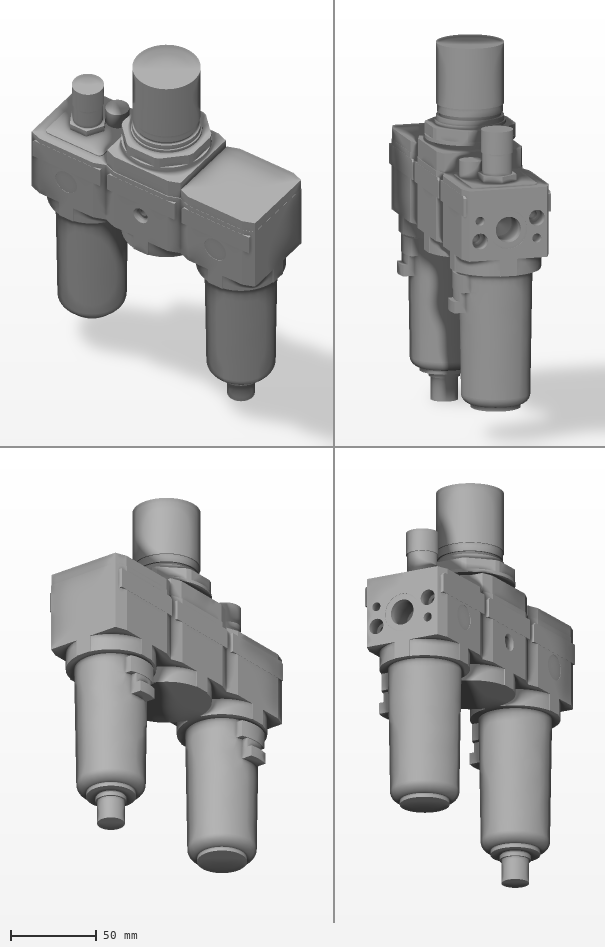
import cadquery as cq
import math


OVERALL_HEIGHT = 225
OVERALL_DEPTH = 54.5
OVERALL_WIDTH = 159.0

HEAD_COUNT = 3
PITCH = OVERALL_WIDTH / HEAD_COUNT
HALF = PITCH / 2
COLLAR_HEIGHT = 10.1
HEAD_TOP = 52.2
CORNER_X = 7.5
CORNER_Y = 2.7
TAB_WIDTH = 10.1

PLATE_BOTTOM = 36.7
PLATE_TOP = 48.8
PLATE_GAP = 2.5
PLATE_CORNER = 1.5
PLATE_PROUD = 0.11
PLATE_DEPTH = 4.5

PORT_Z = 28.0
PORT_RADIUS = 7.6
PORT_DEPTH = 19.1
PORT_SEAT_RADIUS = 11.5
RECESS_DEPTH = 0.2
FRONT_RECESS_RADIUS = 7.6
DRILL_POINT_ANGLE = 118
SCREW_Y = 17.3
SCREW_Z = 6.0
SCREW_RADIUS = 2.7
SCREW_DEPTH = 13.5
SCREW_SEAT_RADIUS = 4.7
SCREW_SEAT_DEPTH = 9.0
GAUGE_RIM_RADIUS = 5.2
GAUGE_RADIUS = 3.8
GAUGE_DEPTH = 3.4
GAUGE_CORE_RADIUS = 2.2
GAUGE_CORE_DEPTH = 6.8

FILTER_COVER_INSET = 0.11
REGULATOR_COVER_INSET = 0.5
FILTER_COVER_TOP = 59.0
REGULATOR_COVER_TOP = 63.7

PAD_SIZE = 40.3
PAD_CORNER = 3.0
PAD_TOP = 52.9
SIGHT_X = -3.0
HEX_FLATS = 20.2
HEX_TOP = 57.0
STEM_RADIUS = 8.8
STEM_TOP = 69.8
CAP_RADIUS = 9.5
CAP_TOP = 83.2
PLUG_X = 9.7
PLUG_Y = 12.2
PLUG_RADIUS = 7.0
PLUG_TOP = 63.0

THREAD_RADIUS = 21.0
WASHER_RADIUS = 26.5
WASHER_BOTTOM = 67.0
WASHER_TOP = 69.0
NUT_FLATS = 50.2
NUT_SIDES = 8
NUT_TOP = 75.8
THREAD_TOP = 77.6
RING_RADIUS = 20.0
RING_TOP = 80.5
GROOVE_RADIUS = 18.2
GROOVE_TOP = 82.5
NECK_RADIUS = 19.4
NECK_TOP = 87.5
KNOB_RADIUS = 20.0
KNOB_TOP = 124.0

BOWL_TOP_RADIUS = 21.5
BOWL_END_RADIUS = 20.2
BOWL_DEPTH = 81.0
BOWL_ROUND = 5.8
FOOT_RADIUS = 14.6
FOOT_DEPTH = 83.5
DRAIN_NECK_RADIUS = 8.5
DRAIN_NECK_DEPTH = 84.4
DRAIN_RING_RADIUS = 9.2
DRAIN_RING_DEPTH = 86.8
DRAIN_RADIUS = 8.0
DRAIN_DEPTH = OVERALL_HEIGHT - KNOB_TOP

LATCH_TOP = -1.8
LATCH_STEP = -12.2
LATCH_RADIUS = 25.5
LATCH_WIDTH = 21.2
HOOK_TOP = -18.0
HOOK_BOTTOM = -24.8
HOOK_RADIUS = OVERALL_DEPTH - HALF - PLATE_PROUD
HOOK_WIDTH = 13.5
HOOK_NECK_RADIUS = 25.0


def disc(radius, bottom, top):
    """Upright cylinder on the Z axis."""
    return cq.Workplane("XY").workplane(offset=bottom).circle(radius).extrude(top - bottom)


def bevelled_block(inset, bottom, top):
    """Square block with bevelled vertical corners, drawn in by the inset on all sides."""
    side = HALF - inset
    flat_x = HALF - CORNER_X
    flat_y = side - CORNER_Y
    outline = [
        (side, -flat_y), (side, flat_y), (flat_x, side), (-flat_x, side),
        (-side, flat_y), (-side, -flat_y), (-flat_x, -side), (flat_x, -side),
    ]
    return cq.Workplane("XY").workplane(offset=bottom).polyline(outline).close().extrude(top - bottom)


def label_plate():
    """Label plate on the front face; its upper left corner is cut off."""
    right = HALF - PLATE_GAP
    left = -right
    outline = [
        (left, PLATE_BOTTOM), (right, PLATE_BOTTOM), (right, PLATE_TOP),
        (left + PLATE_CORNER, PLATE_TOP), (left, PLATE_TOP - PLATE_CORNER),
    ]
    plate = cq.Workplane("XZ", origin=(0, PLATE_DEPTH - HALF, 0)).polyline(outline).close()
    return plate.extrude(PLATE_DEPTH + PLATE_PROUD)


def plain_head():
    """What the three heads share: block, collar with four tabs, and two label plates."""
    head = bevelled_block(0, COLLAR_HEIGHT, HEAD_TOP)
    head = head.union(disc(HALF, 0, COLLAR_HEIGHT))
    for size in ((PITCH, TAB_WIDTH), (TAB_WIDTH, PITCH)):
        head = head.union(cq.Workplane("XY").rect(*size).extrude(COLLAR_HEIGHT))
    plate = label_plate()
    return head.union(plate).union(plate.mirror("XZ"))


def drill(radius, depth):
    """Drilled hole along +X from the YZ plane, ending in a drill point."""
    point = radius / math.tan(math.radians(DRILL_POINT_ANGLE / 2))
    profile = [(0, 0), (0, radius), (depth, radius), (depth + point, 0)]
    return cq.Workplane("XY").polyline(profile).close().revolve(360, (0, 0, 0), (1, 0, 0))


def cut_side_port(head):
    """Port with a shallow seat and four screw holes, two of them counterbored, on the -X face."""
    face = cq.Workplane("YZ", origin=(-HALF, 0, PORT_Z))
    head = head.cut(face.circle(PORT_SEAT_RADIUS).extrude(RECESS_DEPTH))
    head = head.cut(drill(PORT_RADIUS, PORT_DEPTH).translate((-HALF, 0, PORT_Z)))
    for y_sign in (-1, 1):
        for z_sign in (-1, 1):
            y = y_sign * SCREW_Y
            z = z_sign * SCREW_Z
            head = head.cut(drill(SCREW_RADIUS, SCREW_DEPTH).translate((-HALF, y, PORT_Z + z)))
            if y_sign != z_sign:
                head = head.cut(face.center(y, z).circle(SCREW_SEAT_RADIUS).extrude(SCREW_SEAT_DEPTH))
    return head


def cut_front_recess(head):
    """Shallow round recess in the front face."""
    face = cq.Workplane("XZ", origin=(0, -HALF, PORT_Z))
    return head.cut(face.circle(FRONT_RECESS_RADIUS).extrude(-RECESS_DEPTH))


def cut_gauge_port(head):
    """Countersunk, stepped gauge port in the front face."""
    rim = GAUGE_RIM_RADIUS - GAUGE_RADIUS
    profile = [
        (0, 0), (GAUGE_RIM_RADIUS, 0), (GAUGE_RADIUS, rim), (GAUGE_RADIUS, GAUGE_DEPTH),
        (GAUGE_CORE_RADIUS, GAUGE_DEPTH), (GAUGE_CORE_RADIUS, GAUGE_CORE_DEPTH), (0, GAUGE_CORE_DEPTH),
    ]
    port = cq.Workplane("XY").polyline(profile).close().revolve(360, (0, 0, 0), (0, 1, 0))
    return head.cut(port.translate((0, -HALF, PORT_Z)))


def make_lubricator():
    """Lubricator head with its side port, raised pad, sight stem and filler plug."""
    head = cut_front_recess(cut_side_port(plain_head()))
    pad = cq.Workplane("XY").workplane(offset=HEAD_TOP).rect(PAD_SIZE, PAD_SIZE).extrude(PAD_TOP - HEAD_TOP)
    head = head.union(pad.edges("|Z").fillet(PAD_CORNER))
    hex_corners = HEX_FLATS / math.cos(math.pi / 6)
    sight = cq.Workplane("XY").workplane(offset=PAD_TOP).polygon(6, hex_corners).extrude(HEX_TOP - PAD_TOP)
    sight = sight.union(disc(STEM_RADIUS, HEX_TOP, STEM_TOP)).union(disc(CAP_RADIUS, STEM_TOP, CAP_TOP))
    head = head.union(sight.translate((SIGHT_X, 0, 0)))
    head = head.union(disc(PLUG_RADIUS, PAD_TOP, PLUG_TOP).translate((PLUG_X, PLUG_Y, 0)))
    return head.translate((-PITCH, 0, 0))


def make_regulator():
    """Regulator head with its gauge port, cover, bonnet thread, octagonal nut and knob."""
    head = cut_gauge_port(plain_head())
    head = head.union(bevelled_block(REGULATOR_COVER_INSET, HEAD_TOP, REGULATOR_COVER_TOP))
    nut_corners = NUT_FLATS / math.cos(math.pi / NUT_SIDES)
    nut = cq.Workplane("XY").workplane(offset=WASHER_TOP).polygon(NUT_SIDES, nut_corners)
    nut = nut.extrude(NUT_TOP - WASHER_TOP).rotate((0, 0, 0), (0, 0, 1), 180 / NUT_SIDES)
    nut = nut.intersect(disc(WASHER_RADIUS, WASHER_TOP, NUT_TOP))
    head = head.union(nut)
    rounds = [
        (THREAD_RADIUS, REGULATOR_COVER_TOP, WASHER_BOTTOM),
        (WASHER_RADIUS, WASHER_BOTTOM, WASHER_TOP),
        (THREAD_RADIUS, NUT_TOP, THREAD_TOP),
        (RING_RADIUS, THREAD_TOP, RING_TOP),
        (GROOVE_RADIUS, RING_TOP, GROOVE_TOP),
        (NECK_RADIUS, GROOVE_TOP, NECK_TOP),
        (KNOB_RADIUS, NECK_TOP, KNOB_TOP),
    ]
    for radius, bottom, top in rounds:
        head = head.union(disc(radius, bottom, top))
    return head


def make_filter():
    """Filter head with its flat cover."""
    head = cut_front_recess(plain_head())
    head = head.union(bevelled_block(FILTER_COVER_INSET, HEAD_TOP, FILTER_COVER_TOP))
    return head.translate((PITCH, 0, 0))


def latch_piece(radius, width, bottom, top):
    """Part of the latch: a strip of a round disc, kept on the +Y side of the bowl."""
    strip = cq.Workplane("XY").workplane(offset=bottom).center(0, radius / 2).rect(width, radius)
    return disc(radius, bottom, top).intersect(strip.extrude(top - bottom))


def make_bowl(x, has_drain):
    """Tapered bowl with a rounded end, a foot, a latch at the back and, if asked for, a drain."""
    profile = [(0, 0), (BOWL_TOP_RADIUS, 0), (BOWL_END_RADIUS, -BOWL_DEPTH), (0, -BOWL_DEPTH)]
    bowl = cq.Workplane("XZ").polyline(profile).close().revolve(360, (0, 0, 0), (0, 1, 0))
    bowl = bowl.faces("<Z").edges().fillet(BOWL_ROUND)
    bowl = bowl.union(disc(FOOT_RADIUS, -FOOT_DEPTH, -BOWL_DEPTH))
    bowl = bowl.union(latch_piece(LATCH_RADIUS, LATCH_WIDTH, LATCH_STEP, LATCH_TOP))
    bowl = bowl.union(latch_piece(HOOK_NECK_RADIUS, HOOK_WIDTH, HOOK_TOP, LATCH_STEP))
    bowl = bowl.union(latch_piece(HOOK_RADIUS, HOOK_WIDTH, HOOK_BOTTOM, HOOK_TOP))
    if has_drain:
        bowl = bowl.union(disc(DRAIN_NECK_RADIUS, -DRAIN_NECK_DEPTH, -FOOT_DEPTH))
        bowl = bowl.union(disc(DRAIN_RING_RADIUS, -DRAIN_RING_DEPTH, -DRAIN_NECK_DEPTH))
        bowl = bowl.union(disc(DRAIN_RADIUS, -DRAIN_DEPTH, -DRAIN_RING_DEPTH))
    return bowl.translate((x, 0, 0))


lubricator = make_lubricator()
regulator = make_regulator()
filter_head = make_filter()
bowls = [make_bowl(x, has_drain) for x, has_drain in ((-PITCH, False), (PITCH, True))]

result = cq.Compound.makeCompound(
    [lubricator.val(), regulator.val(), filter_head.val()] + [bowl.val() for bowl in bowls]
)